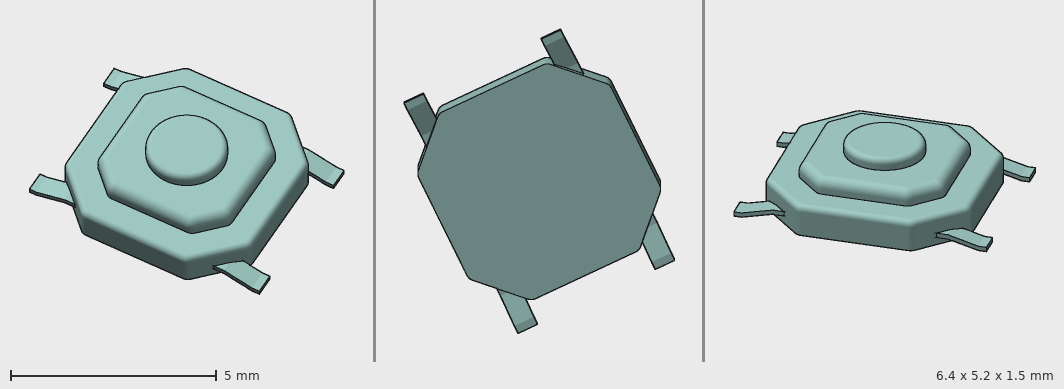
import cadquery as cq

base_width = 5.2
base_height = 0.8
base_chamfer = 1.15
base_corner_radius = 0.25
base_top_radius = 0.15

cap_width = 3.7
cap_height = 0.4
cap_chamfer = 0.7
cap_edge_radius = 0.25

button_diameter = 2.0
button_height = 0.3
button_edge_radius = 0.15

lead_span = 6.4
lead_width = 0.53
lead_thickness = 0.12
lead_rise = 0.2
lead_offset = 1.85
foot_length = 0.2
slope_length = 0.78
raised_length = 0.5


def octagonal_block(width, height, chamfer, corner_radius, top_radius):
    """Square block standing on Z = 0 with cut corners and rounded side and top edges."""
    block = cq.Workplane("XY").box(width, width, height, centered=(True, True, False))
    block = block.edges("|Z").chamfer(chamfer)
    block = block.edges("|Z").fillet(corner_radius)
    return block.faces(">Z").edges().fillet(top_radius)


def make_housing():
    base = octagonal_block(base_width, base_height, base_chamfer, base_corner_radius, base_top_radius)
    cap = octagonal_block(cap_width, cap_height, cap_chamfer, cap_edge_radius, cap_edge_radius)
    button = cq.Workplane("XY").circle(button_diameter / 2).extrude(button_height)
    button = button.faces(">Z").edges().fillet(button_edge_radius)

    cap_bottom = base_height
    button_bottom = base_height + cap_height
    housing = base.union(cap.translate((0, 0, cap_bottom)))
    return housing.union(button.translate((0, 0, button_bottom)))


def make_lead(side_x, side_y):
    """Bent strip with its end buried in one cut corner, chosen by side_x and side_y (+1 or -1)."""
    tip_x = lead_span / 2
    foot_x = tip_x - foot_length
    bend_x = foot_x - slope_length
    buried_end_x = bend_x - raised_length

    lower_edge = [
        (tip_x, 0),
        (foot_x, 0),
        (bend_x, lead_rise),
        (buried_end_x, lead_rise),
    ]
    upper_edge = [(x, z + lead_thickness) for x, z in reversed(lower_edge)]
    outline = [(side_x * x, z) for x, z in lower_edge + upper_edge]

    strip = cq.Workplane("XZ").polyline(outline).close().extrude(lead_width / 2, both=True)
    return strip.translate((0, side_y * lead_offset, 0))


leads = [make_lead(side_x, side_y) for side_x in (-1, 1) for side_y in (-1, 1)]

housing = make_housing()
for lead in leads:
    housing = housing.cut(lead)

result = cq.Compound.makeCompound([housing.val(), *[lead.val() for lead in leads]])